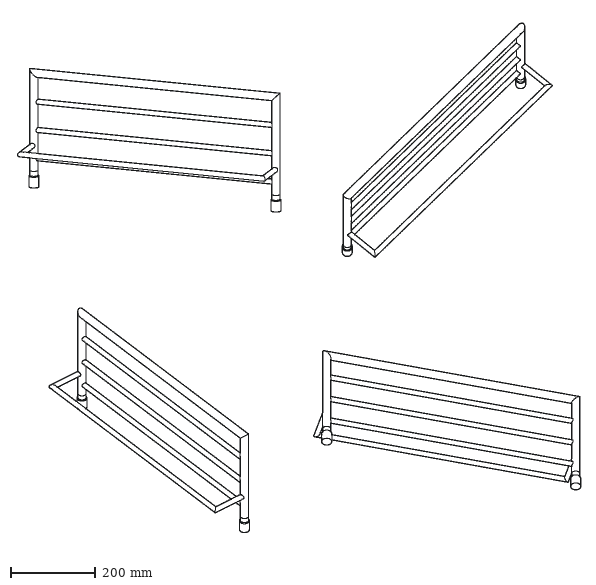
import cadquery as cq

overall_length = 633.5
overall_height = 290.0
shelf_length = 623.5
shelf_reach = 95.0

rung_diameter = 12.5
shelf_diameter = 12.5

foot_diameter = 24.0
foot_step = 2.0
foot_height = 28.5
neck_height = 12.0

rung_heights = (71.0, 140.5, 210.5)
shelf_height = 103.0

frame_diameter = foot_diameter - 2 * foot_step
post_x = (overall_length - foot_diameter) / 2
post_bottom = foot_height + neck_height
top_rail_z = overall_height - frame_diameter / 2
shelf_half_length = (shelf_length - shelf_diameter) / 2
shelf_rail_y = -(shelf_reach - shelf_diameter / 2)


def mitred_tube(points, diameter, start_plane):
    """Sweep a round bar along straight legs, mitred at each corner."""
    path = cq.Workplane("XY").polyline(points)
    profile = cq.Workplane(start_plane, origin=points[0]).circle(diameter / 2)
    return profile.sweep(path, transition="right")


def make_arch():
    """Two posts joined by the top rail."""
    corners = [
        (-post_x, 0, post_bottom),
        (-post_x, 0, top_rail_z),
        (post_x, 0, top_rail_z),
        (post_x, 0, post_bottom),
    ]
    return mitred_tube(corners, frame_diameter, "XY")


def make_rung(height):
    """Horizontal bar running from one post axis to the other."""
    return (
        cq.Workplane("YZ", origin=(-post_x, 0, height))
        .circle(rung_diameter / 2)
        .extrude(2 * post_x)
    )


def make_shelf():
    """U-shaped bar reaching forward from the posts."""
    corners = [
        (-shelf_half_length, 0, shelf_height),
        (-shelf_half_length, shelf_rail_y, shelf_height),
        (shelf_half_length, shelf_rail_y, shelf_height),
        (shelf_half_length, 0, shelf_height),
    ]
    return mitred_tube(corners, shelf_diameter, "XZ")


def make_frame():
    """Arch, rungs and shelf welded into one body."""
    frame = make_arch().union(make_shelf())
    for height in rung_heights:
        frame = frame.union(make_rung(height))
    return frame


def make_foot(x):
    """Round foot whose collar bevels in to a neck that meets the end of the post."""
    profile = [
        (0, 0),
        (foot_diameter / 2, 0),
        (foot_diameter / 2, foot_height - foot_step),
        (frame_diameter / 2, foot_height),
        (frame_diameter / 2, post_bottom),
        (0, post_bottom),
    ]
    foot = cq.Workplane("XZ").polyline(profile).close().revolve(360, (0, 0), (0, 1))
    return foot.translate((x, 0, 0))


frame = make_frame()
feet = [make_foot(side * post_x) for side in (-1, 1)]

result = cq.Compound.makeCompound([frame.val(), *[foot.val() for foot in feet]])